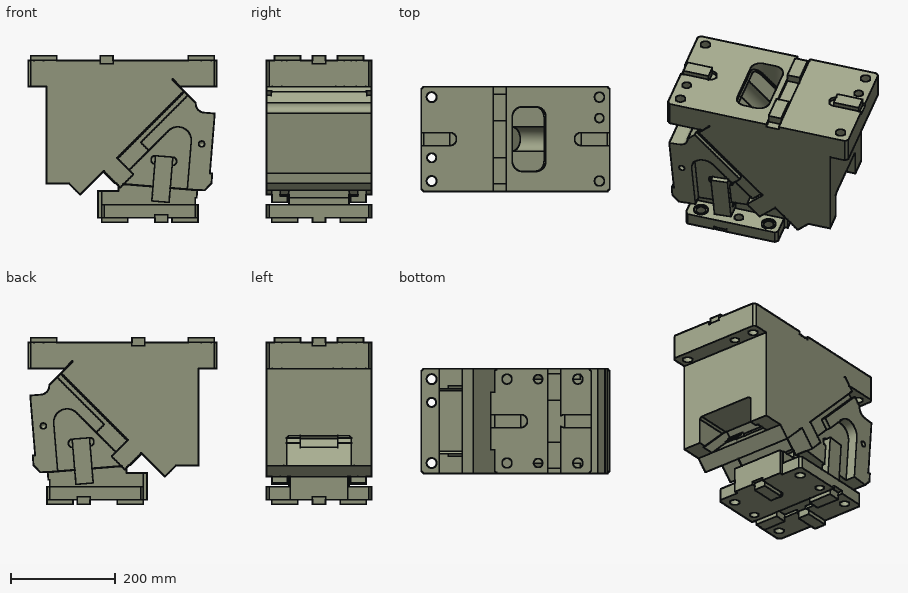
import cadquery as cq
import math


WIDTH = 200.0
HALF_WIDTH = WIDTH / 2
CORNER_CHAMFER = 5.0
ROOT2 = math.sqrt(2)

KEY_LENGTH = 50.0
KEY_WIDTH = 25.0
KEY_SEAT = 6.0
KEY_PROUD = 9.0
KEY_HEIGHT = KEY_SEAT + KEY_PROUD

BOLT_HOLE = 18.7
DOWEL_HOLE = 17.0
BOLT_Y = 80.0

PLATE_LENGTH = 360.0
PLATE_TOP = 300.0
PLATE_THICKNESS = 50.0
PLATE_BOTTOM = PLATE_TOP - PLATE_THICKNESS
BODY_LEFT = 35.0
FOOT_BOTTOM = 65.0
FOOT_RIGHT = 78.0
END_KEY_INSET = 5.0
HOUSING_CROSS_SLOT_X = 149.8
HOUSING_CROSS_KEY_Y = 60.0
HOUSING_HOLE_INSET = 20.0
LEFT_DOWEL_Y = -35.5
RIGHT_DOWEL_Y = 40.0

GUIDE_FOOT_X = 55.5
GUIDE_END = 341.5
WEAR_PLATE_HALF = 90.0
WEAR_PLATE_PROUD = 1.8
TONGUE_HALF = 59.8
TAB_START = 125.5
TAB_END = 161.3
TAB_DEPTH = 44.3
SLIT_DEPTH = 19.5
SLIT_WIDTH = 1.5

POCKET_LEFT = 174.0
POCKET_RIGHT = 238.0
POCKET_HALF = 62.0
POCKET_CORNER = 20.0
POCKET_FLOOR = -73.0
LEDGE_HEIGHT = 4.0
WELL_HALF = 61.0
WELL_END = 330.0
GROOVE_RADIUS = 23.5
GROOVE_WALL = 12.0
GROOVE_START = 226.8

WINDOW_HALF = 62.0
CHANNEL_HALF = 67.0
CHANNEL_DEPTH = 18.7
FLOOR_PAD_FEET = (107.5, 115.5)
PAD_STEP = 1.8
WINDOW_TOP = 122.0
WINDOW_CORNER = 4.5
RECESS_HALF = 35.3
RECESS_FOOT = 100.0
RECESS_DEPTH = 8.5
RECESS_LENGTH = 31.0

BASE_LEFT = 140.0
BASE_RIGHT = 324.0
BASE_THICKNESS = 25.0
NECK_HALF = 57.2
NECK_TOP = 51.0
NECK_RIGHT = 319.0
NOSE_LEFT = 133.2
NOSE_HALF = 55.0
BASE_CROSS_SLOT_X = 254.0
BASE_CROSS_KEY_Y = 65.0
BASE_BOLT_XS = (163.8, 298.8)
BASE_DOWEL_X = 223.2
SPOT_FACE = 27.0
SPOT_DEPTH = 2.0

RAMP_TILT = math.radians(4.7)
RAMP_LEFT = 172.0
RAMP_LEFT_Z = 65.5
RAMP_LENGTH = 151.2
RAMP_PLATE = 15.5
RAMP_CHAMFER = 1.0

SLIDER_START = 124.2
BACK_FACE = 172.5
BACK_TOP = 148.0
BACK_LIP = 177.0
LIP_TOP = 33.5
LIP_BOTTOM = 14.8
TOE_END = 165.0
SHOULDER_RADIUS = 17.0
SHOULDER_END = 151.5
RECESSED_FLANK = 91.0
FLANK_RELIEF = 11.0
FLANK_STEP = 214.2
ARCH_FLOOR = 80.0
ARCH_EDGE = 32.8
ARCH_CENTRE = 267.0
ARCH_RADIUS = 25.5
ARCH_DROP = 108.0
SIDE_HOLE_X = 331.0
SIDE_HOLE_Z = 140.8
SIDE_HOLE = 11.0
SIDE_HOLE_DEPTH = 20.0
DRILL_POINT = math.radians(118)

STRAP_START = 66.2
STRAP_WIDTH = 33.0
STRAP_TOP = 58.5
STRAP_BOTTOM = -28.0
STRAP_INNER = 74.0
STRAP_OUTER = 90.0
HOOK_HEIGHT = 12.0
HOOK_INNER = 59.8
STRAP_SLOT_RADIUS = 8.0


def guide_point(along, out):
    """XZ point in guide coordinates."""
    return (GUIDE_FOOT_X + (along + out) / ROOT2, (along - out) / ROOT2)


def ramp_point(down, up):
    """XZ point in ramp coordinates."""
    x = RAMP_LEFT + down * math.cos(RAMP_TILT) + up * math.sin(RAMP_TILT)
    z = RAMP_LEFT_Z - down * math.sin(RAMP_TILT) + up * math.cos(RAMP_TILT)
    return (x, z)


def across(outline, y_from, y_to):
    """Solid with an XZ outline, reaching from y_from to y_to."""
    return outline.extrude(y_from - y_to).translate((0, y_from, 0))


def prism(points, y_from, y_to):
    return across(cq.Workplane("XZ").polyline(points).close(), y_from, y_to)


def guide_block(along_from, along_to, out_from, out_to, y_from, y_to):
    """Block squared up to the guide."""
    corners = [
        guide_point(along_from, out_from),
        guide_point(along_to, out_from),
        guide_point(along_to, out_to),
        guide_point(along_from, out_to),
    ]
    return prism(corners, y_from, y_to)


def ramp_block(down_from, down_to, up_from, up_to, y_from, y_to):
    """Block squared up to the ramp."""
    corners = [
        ramp_point(down_from, up_from),
        ramp_point(down_to, up_from),
        ramp_point(down_to, up_to),
        ramp_point(down_from, up_to),
    ]
    return prism(corners, y_from, y_to)


def box(x_from, x_to, y_from, y_to, z_from, z_to):
    size = (x_to - x_from, y_to - y_from, z_to - z_from)
    return cq.Workplane("XY").box(*size, centered=False).translate((x_from, y_from, z_from))


def both_sides(shape):
    """The shape together with its mirror image across the XZ plane."""
    return shape.union(shape.mirror("XZ"))


def upright_cylinder(x, y, diameter, z_from, z_to):
    cylinder = cq.Workplane("XY").center(x, y).circle(diameter / 2).extrude(z_to - z_from)
    return cylinder.translate((0, 0, z_from))


def key_slot(x_open, x_round, z_from):
    """Slot from an open end to a rounded end, for a key along X."""
    half = KEY_WIDTH / 2
    z_to = z_from + KEY_SEAT
    straight = box(min(x_open, x_round), max(x_open, x_round), -half, half, z_from, z_to)
    return straight.union(upright_cylinder(x_round, 0, KEY_WIDTH, z_from, z_to))


def long_key(x_from, z_from):
    return box(x_from, x_from + KEY_LENGTH, -KEY_WIDTH / 2, KEY_WIDTH / 2, z_from, z_from + KEY_HEIGHT)


def cross_slot(x_centre, z_from):
    half = KEY_WIDTH / 2
    return box(x_centre - half, x_centre + half, -HALF_WIDTH, HALF_WIDTH, z_from, z_from + KEY_SEAT)


def cross_keys(x_centre, y_centre, z_from):
    half = KEY_WIDTH / 2
    y_from = y_centre - KEY_LENGTH / 2
    return both_sides(
        box(x_centre - half, x_centre + half, y_from, y_from + KEY_LENGTH, z_from, z_from + KEY_HEIGHT)
    )




def housing_block():
    """Side profile of the housing over its full width."""
    guide_end = guide_point(GUIDE_END, 0)
    end_sum = guide_end[0] + guide_end[1]
    foot_sum = FOOT_RIGHT + FOOT_BOTTOM
    tip = ((foot_sum + GUIDE_FOOT_X) / 2, (foot_sum - GUIDE_FOOT_X) / 2)
    body = prism(
        [
            (BODY_LEFT, PLATE_BOTTOM),
            (BODY_LEFT, FOOT_BOTTOM),
            (FOOT_RIGHT, FOOT_BOTTOM),
            tip,
            guide_end,
            (end_sum - PLATE_BOTTOM, PLATE_BOTTOM),
        ],
        -HALF_WIDTH,
        HALF_WIDTH,
    )
    plate = box(0, PLATE_LENGTH, -HALF_WIDTH, HALF_WIDTH, PLATE_BOTTOM, PLATE_TOP)
    return body.union(plate.edges("|Z").chamfer(CORNER_CHAMFER))


def end_slit():
    """Thin wedge continuing the end face of the guide up into the plate."""
    end = guide_point(GUIDE_END, 0)
    mouth = (end[0] + end[1] - PLATE_BOTTOM, PLATE_BOTTOM)
    top = (mouth[0] - SLIT_DEPTH / ROOT2, mouth[1] + SLIT_DEPTH / ROOT2)
    wide = (top[0] + SLIT_WIDTH / ROOT2, top[1] + SLIT_WIDTH / ROOT2)
    return prism([mouth, top, wide], -HALF_WIDTH, HALF_WIDTH)


def top_pocket():
    """Rounded pocket stepping down to a floor parallel to the guide, with a U groove in that floor."""
    mouth = box(POCKET_LEFT, POCKET_RIGHT, -POCKET_HALF, POCKET_HALF, 0, PLATE_TOP)
    mouth = mouth.edges("|Z").fillet(POCKET_CORNER)
    ledge = POCKET_FLOOR - LEDGE_HEIGHT
    above_ledge = guide_block(0, 2 * GUIDE_END, -GUIDE_END, ledge, -HALF_WIDTH, HALF_WIDTH)
    well = guide_block(0, WELL_END, ledge, POCKET_FLOOR, -WELL_HALF, WELL_HALF)
    well_axis = cq.selectors.ParallelDirSelector(cq.Vector(1, 0, -1))
    well = well.edges(well_axis).fillet(POCKET_CORNER)

    axis_out = POCKET_FLOOR + GROOVE_WALL
    groove = guide_block(GROOVE_START, WELL_END, POCKET_FLOOR, axis_out, -GROOVE_RADIUS, GROOVE_RADIUS)
    below_floor = guide_block(0, 2 * GUIDE_END, POCKET_FLOOR, GUIDE_END, -HALF_WIDTH, HALF_WIDTH)
    x, z = guide_point(GROOVE_START, axis_out)
    length = WELL_END - GROOVE_START
    bore = cq.Solid.makeCylinder(GROOVE_RADIUS, length, cq.Vector(x, 0, z), cq.Vector(1, 0, 1))
    groove = groove.union(below_floor.intersect(cq.Workplane(bore)))
    return mouth.intersect(above_ledge.union(well)).union(groove)


def side_window():
    """Window through the left wall into a wider sloping channel with a stepped, recessed floor."""
    floor_offset = FOOT_RIGHT - FOOT_BOTTOM
    outline = [
        (BODY_LEFT, WINDOW_TOP),
        (BODY_LEFT, FOOT_BOTTOM),
        (FOOT_RIGHT, FOOT_BOTTOM),
        (WINDOW_TOP + floor_offset, WINDOW_TOP),
    ]
    window = prism(outline, -WINDOW_HALF, WINDOW_HALF)
    window = window.faces(">Z").edges("|X").chamfer(WINDOW_CORNER)
    floor_out = (floor_offset - GUIDE_FOOT_X) / ROOT2

    def floor_along(z):
        return (2 * z + floor_offset - GUIDE_FOOT_X) / ROOT2

    start = floor_along(RECESS_FOOT)
    end = start + RECESS_LENGTH
    channel = guide_block(
        floor_along(0), end, floor_out - CHANNEL_DEPTH, floor_out, -CHANNEL_HALF, CHANNEL_HALF
    )
    window = window.union(channel)
    for number, foot in enumerate(FLOOR_PAD_FEET, start=1):
        pad_top = floor_out - number * PAD_STEP
        pad = guide_block(floor_along(foot), 2 * end, pad_top, floor_out, RECESS_HALF, HALF_WIDTH)
        window = window.cut(both_sides(pad))
    recess = guide_block(start, end, floor_out, floor_out + RECESS_DEPTH, -RECESS_HALF, RECESS_HALF)
    return window.union(recess)


def make_housing():
    seat = PLATE_TOP - KEY_SEAT
    key_end = END_KEY_INSET + KEY_LENGTH
    housing = housing_block()
    wear_plate = guide_block(TAB_END, GUIDE_END, 0, WEAR_PLATE_PROUD, -WEAR_PLATE_HALF, WEAR_PLATE_HALF)
    tab = guide_block(TAB_START, TAB_END, 0, TAB_DEPTH, TONGUE_HALF, HALF_WIDTH)
    housing = housing.union(wear_plate).union(both_sides(tab))
    housing = housing.cut(end_slit()).cut(top_pocket()).cut(side_window())
    housing = housing.cut(key_slot(0, key_end, seat))
    housing = housing.cut(key_slot(PLATE_LENGTH, PLATE_LENGTH - key_end, seat))
    housing = housing.cut(cross_slot(HOUSING_CROSS_SLOT_X, seat))
    left, right = HOUSING_HOLE_INSET, PLATE_LENGTH - HOUSING_HOLE_INSET
    for x in (left, right):
        for y in (-BOLT_Y, BOLT_Y):
            housing = housing.cut(upright_cylinder(x, y, BOLT_HOLE, PLATE_BOTTOM, PLATE_TOP))
    for x, y in ((left, LEFT_DOWEL_Y), (right, RIGHT_DOWEL_Y)):
        housing = housing.cut(upright_cylinder(x, y, DOWEL_HOLE, PLATE_BOTTOM, PLATE_TOP))
    housing = housing.union(long_key(END_KEY_INSET, seat))
    housing = housing.union(long_key(PLATE_LENGTH - key_end, seat))
    return housing.union(cross_keys(HOUSING_CROSS_SLOT_X, HOUSING_CROSS_KEY_Y, seat))




def slider_block():
    """Side profile of the slider over its full width."""
    end_x, end_z = guide_point(GUIDE_END, 0)
    start_x, start_z = guide_point(SLIDER_START, 0)
    heel_x = (start_x + start_z - RAMP_LEFT_Z - RAMP_LEFT * math.tan(RAMP_TILT)) / (1 - math.tan(RAMP_TILT))
    heel = (heel_x, start_x + start_z - heel_x)
    arc_end = ramp_point(SHOULDER_END, BACK_TOP)
    centre_x, centre_z = ramp_point(SHOULDER_END, BACK_TOP + SHOULDER_RADIUS)
    arc_start = (centre_x - SHOULDER_RADIUS, centre_z)
    arc_middle = (centre_x - SHOULDER_RADIUS / ROOT2, centre_z - SHOULDER_RADIUS / ROOT2)
    outline = (
        cq.Workplane("XZ")
        .moveTo(*heel)
        .lineTo(*guide_point(SLIDER_START, WEAR_PLATE_PROUD))
        .lineTo(*guide_point(GUIDE_END, WEAR_PLATE_PROUD))
        .lineTo(arc_start[0], end_x + end_z - arc_start[0])
        .lineTo(*arc_start)
        .threePointArc(arc_middle, arc_end)
        .lineTo(*ramp_point(BACK_FACE, BACK_TOP))
        .lineTo(*ramp_point(BACK_FACE, LIP_TOP))
        .lineTo(*ramp_point(BACK_LIP, LIP_TOP))
        .lineTo(*ramp_point(BACK_LIP, LIP_BOTTOM))
        .lineTo(*ramp_point(TOE_END, 0))
        .close()
    )
    return across(outline, -HALF_WIDTH, HALF_WIDTH)


def arch_recess():
    """Recess in the +Y flank: a slanted edge, a round top and a wall square to the ramp."""
    centre_x, centre_z = guide_point(ARCH_CENTRE, ARCH_EDGE + ARCH_RADIUS)
    wall_top = (centre_x + ARCH_RADIUS * math.cos(RAMP_TILT), centre_z - ARCH_RADIUS * math.sin(RAMP_TILT))
    wall_foot = (
        wall_top[0] - ARCH_DROP * math.sin(RAMP_TILT),
        wall_top[1] - ARCH_DROP * math.cos(RAMP_TILT),
    )
    crown_angle = (3 * math.pi / 4 - RAMP_TILT) / 2
    crown = (centre_x + ARCH_RADIUS * math.cos(crown_angle), centre_z + ARCH_RADIUS * math.sin(crown_angle))
    outline = (
        cq.Workplane("XZ")
        .moveTo(*guide_point(SLIDER_START, ARCH_EDGE))
        .lineTo(*guide_point(ARCH_CENTRE, ARCH_EDGE))
        .threePointArc(crown, wall_top)
        .lineTo(*wall_foot)
        .lineTo(*guide_point(SLIDER_START, ARCH_EDGE + 2 * ARCH_RADIUS))
        .close()
    )
    return across(outline, ARCH_FLOOR, HALF_WIDTH)


def flank_relief():
    """Clearance beside the guide, deeper over its lower stretch."""
    shallow = guide_block(TAB_END, GUIDE_END, 0, FLANK_RELIEF, RECESSED_FLANK, HALF_WIDTH)
    deep = guide_block(TAB_END, FLANK_STEP, 0, ARCH_EDGE, RECESSED_FLANK, HALF_WIDTH)
    return shallow.union(deep)


def strap_slot():
    """Round-ended slot that takes the upper end of the strap."""
    up = STRAP_TOP - STRAP_SLOT_RADIUS
    ends = (STRAP_START, STRAP_START + STRAP_WIDTH)
    slot = ramp_block(*ends, STRAP_TOP - 2 * STRAP_SLOT_RADIUS, STRAP_TOP, STRAP_INNER, ARCH_FLOOR)
    for down in ends:
        circle = cq.Workplane("XZ").center(*ramp_point(down, up)).circle(STRAP_SLOT_RADIUS)
        slot = slot.union(across(circle, STRAP_INNER, ARCH_FLOOR))
    return slot


def strap():
    """Hanging strap with a hook turned inwards at its lower end."""
    sides = (STRAP_START, STRAP_START + STRAP_WIDTH)
    slab = ramp_block(*sides, STRAP_BOTTOM, STRAP_TOP, STRAP_INNER, STRAP_OUTER)
    hook = ramp_block(*sides, STRAP_BOTTOM, STRAP_BOTTOM + HOOK_HEIGHT, HOOK_INNER, STRAP_OUTER)
    return slab.union(hook)


def side_hole():
    """Drilled hole in the +Y flank, ending in a drill point."""
    floor_y = HALF_WIDTH - SIDE_HOLE_DEPTH
    circle = cq.Workplane("XZ").center(SIDE_HOLE_X, SIDE_HOLE_Z).circle(SIDE_HOLE / 2)
    floor_centre = cq.Vector(SIDE_HOLE_X, floor_y, SIDE_HOLE_Z)
    point_length = SIDE_HOLE / 2 / math.tan(DRILL_POINT / 2)
    point = cq.Solid.makeCone(SIDE_HOLE / 2, 0, point_length, floor_centre, cq.Vector(0, -1, 0))
    return across(circle, floor_y, HALF_WIDTH).union(cq.Workplane(point))


def make_slider():
    slider = slider_block()
    tab_notch = guide_block(0, TAB_END, 0, TAB_DEPTH, TONGUE_HALF, HALF_WIDTH)
    slider = slider.cut(both_sides(tab_notch))
    slider = slider.cut(both_sides(flank_relief())).cut(both_sides(arch_recess()))
    slider = slider.cut(both_sides(side_hole()))
    return slider.cut(both_sides(strap_slot())).union(both_sides(strap()))




def base_neck():
    """Raised middle of the base, carrying the ramp plate."""
    outline = [
        (BASE_LEFT, 0),
        (BASE_LEFT, NECK_TOP),
        (RAMP_LEFT, NECK_TOP),
        (RAMP_LEFT, RAMP_LEFT_Z),
        ramp_point(RAMP_LENGTH, 0),
        ramp_point(RAMP_LENGTH, -RAMP_PLATE),
        (NECK_RIGHT, ramp_point(RAMP_LENGTH, -RAMP_PLATE)[1]),
        (NECK_RIGHT, 0),
    ]
    neck = prism(outline, -NECK_HALF, NECK_HALF)
    ramp_middle = ramp_point(RAMP_LENGTH / 2, 0)
    ramp = neck.faces(cq.selectors.NearestToPointSelector((ramp_middle[0], 0, ramp_middle[1])))
    neck = ramp.edges("not |Y").chamfer(RAMP_CHAMFER)
    nose = box(NOSE_LEFT, BASE_LEFT, -NOSE_HALF, NOSE_HALF, 0, NECK_TOP)
    return neck.union(nose)


def make_base():
    plate = box(BASE_LEFT, BASE_RIGHT, -HALF_WIDTH, HALF_WIDTH, 0, BASE_THICKNESS)
    base = plate.edges("|Z").chamfer(CORNER_CHAMFER).union(base_neck())
    base = base.cut(key_slot(NOSE_LEFT, BASE_LEFT + KEY_LENGTH, 0))
    base = base.cut(key_slot(BASE_RIGHT, BASE_RIGHT - KEY_LENGTH, 0))
    base = base.cut(cross_slot(BASE_CROSS_SLOT_X, 0))
    for y in (-BOLT_Y, BOLT_Y):
        base = base.cut(upright_cylinder(BASE_DOWEL_X, y, DOWEL_HOLE, 0, BASE_THICKNESS))
        for x in BASE_BOLT_XS:
            base = base.cut(upright_cylinder(x, y, BOLT_HOLE, 0, BASE_THICKNESS))
            base = base.cut(upright_cylinder(x, y, SPOT_FACE, BASE_THICKNESS - SPOT_DEPTH, BASE_THICKNESS))
    base = base.union(long_key(BASE_LEFT, -KEY_PROUD))
    base = base.union(long_key(BASE_RIGHT - KEY_LENGTH, -KEY_PROUD))
    return base.union(cross_keys(BASE_CROSS_SLOT_X, BASE_CROSS_KEY_Y, -KEY_PROUD))


housing = make_housing()
slider = make_slider()
base = make_base()
result = cq.Compound.makeCompound([body.solids().val() for body in (housing, slider, base)])